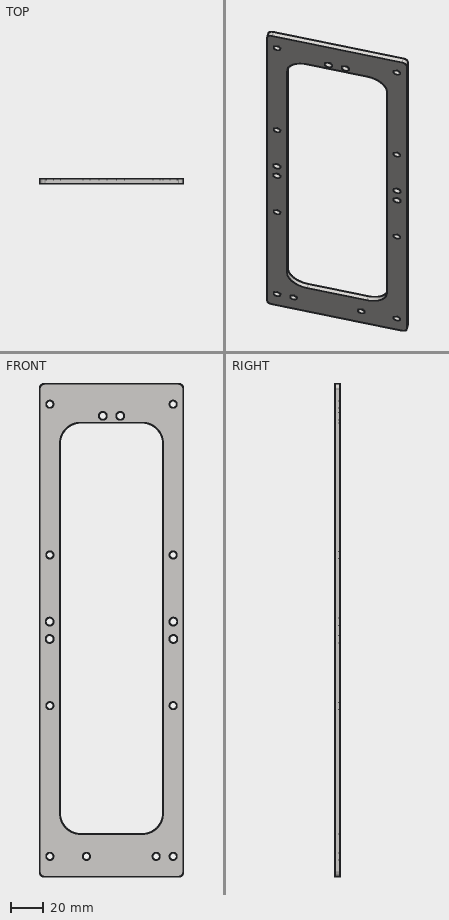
import cadquery as cq

width = 88.9
height = 304.8
thickness = 3.175
corner_radius = 3.175

side_rail = 12.7
window_width = width - 2 * side_rail
window_height = 254.0
window_radius = 12.7
window_center_z = 1.2

screw_hole_diameter = 4.35
screw_rows = 4
end_row_inset = 12.7
column_x = width / 2 - side_rail / 2
end_row_z = height / 2 - end_row_inset
row_pitch = 2 * end_row_z / (screw_rows - 1)

bottom_pair_spacing = 43.1
bottom_pair_center_x = 6.05

pair_hole_diameter = 4.7625
pair_spacing = 10.75
side_pair_x = 38.23
top_pair_z = 132.5


def rounded_block(size_x, size_z, radius):
    """Plate-thick block centred on the origin, with rounded corners in XZ."""
    return cq.Workplane("XY").box(size_x, thickness, size_z).edges("|Y").fillet(radius)


def hole_cutters(points, diameter):
    """Cylinders along Y at the given (x, z) points, as long as the plate is thick."""
    return (
        cq.Workplane("XZ")
        .pushPoints(points)
        .circle(diameter / 2)
        .extrude(thickness / 2, both=True)
    )


def screw_points():
    """Centres of the perimeter holes and of the wide pair on the bottom rail."""
    rows = [-end_row_z + row * row_pitch for row in range(screw_rows)]
    points = [(x, z) for x in (-column_x, column_x) for z in rows]
    for side in (-1, 1):
        points.append((bottom_pair_center_x + side * bottom_pair_spacing / 2, -end_row_z))
    return points


def close_pair_points():
    """Centres of the close pairs on both side rails and the top rail."""
    points = []
    for offset in (-pair_spacing / 2, pair_spacing / 2):
        points.append((-side_pair_x, offset))
        points.append((side_pair_x, offset))
        points.append((offset, top_pair_z))
    return points


plate = rounded_block(width, height, corner_radius)
window = rounded_block(window_width, window_height, window_radius).translate((0, 0, window_center_z))

result = (
    plate.cut(window)
    .cut(hole_cutters(screw_points(), screw_hole_diameter))
    .cut(hole_cutters(close_pair_points(), pair_hole_diameter))
)